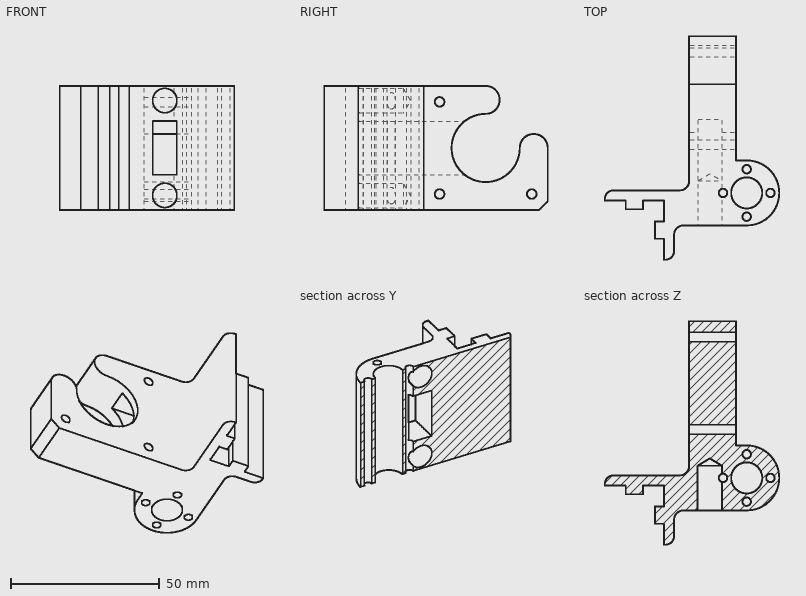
import cadquery as cq
import math

height = 42.0
mid_z = height / 2

body_radius = 11.0
bore_diameter = 10.4
bolt_hole_diameter = 2.8
bolt_circle_radius = 8.0
bolt_hole_count = 4

flange_length = 20.0
flange_thickness = 3.5
seat_corner_x = -27.9
seat_corner_y = -2.6
key_width = 5.9
key_height = 3.0
key_gap = (flange_length - key_width) / 2
blend_radius = 3.0

arm_left = -19.5
arm_width = 15.9
arm_end_y = 52.9
hook_y = arm_end_y - mid_z
hook_radius = 11.5
tip_radius = (mid_z - hook_radius) / 2
arm_chamfer = 3.0
arm_hole_diameter = 3.2
arm_hole_offset = 15.55

front_feature_x = -12.45
blind_hole_diameter = 8.2
blind_hole_depth = 15.1
blind_hole_offset = 16.0
drill_point_angle = 118
window_width = 8.0
window_height = 18.05


def make_body():
    """Rounded pivot body and both rail flanges, extruded over the full height."""
    left_tip_x = seat_corner_x - flange_length
    front_tip_y = seat_corner_y - flange_length
    back_y = seat_corner_y + flange_thickness
    inner_x = seat_corner_x + flange_thickness
    profile = (
        cq.Workplane("XY")
        .moveTo(0, body_radius)
        .lineTo(arm_left, body_radius)
        .lineTo(arm_left, back_y + blend_radius)
        .radiusArc((arm_left - blend_radius, back_y), blend_radius)
        .lineTo(left_tip_x + blend_radius, back_y)
        .radiusArc((left_tip_x, back_y - blend_radius), -blend_radius)
        .lineTo(left_tip_x, seat_corner_y)
        .lineTo(seat_corner_x, seat_corner_y)
        .lineTo(seat_corner_x, front_tip_y)
        .lineTo(inner_x - blend_radius, front_tip_y)
        .radiusArc((inner_x, front_tip_y + blend_radius), -blend_radius)
        .lineTo(inner_x, -body_radius - blend_radius)
        .radiusArc((inner_x + blend_radius, -body_radius), blend_radius)
        .lineTo(0, -body_radius)
        .threePointArc((body_radius, 0), (0, body_radius))
        .close()
    )
    body = profile.extrude(height)
    left_key = cq.Workplane("XY").box(key_width, key_height, height, centered=False)
    front_key = cq.Workplane("XY").box(key_height, key_width, height, centered=False)
    body = body.union(left_key.translate((left_tip_x + key_gap, seat_corner_y - key_height, 0)))
    return body.union(front_key.translate((seat_corner_x - key_height, front_tip_y + key_gap, 0)))


def make_arm():
    """Open hook with two rounded tips, extruded along X."""
    upper_tip_z = height - tip_radius
    lower_tip_y = arm_end_y - tip_radius
    diagonal = hook_radius * math.sqrt(0.5)
    return (
        cq.Workplane("YZ", origin=(arm_left, 0, 0))
        .moveTo(0, 0)
        .lineTo(arm_end_y - arm_chamfer, 0)
        .lineTo(arm_end_y, arm_chamfer)
        .lineTo(arm_end_y, mid_z)
        .threePointArc((lower_tip_y, mid_z + tip_radius), (hook_y + hook_radius, mid_z))
        .threePointArc((hook_y - diagonal, mid_z - diagonal), (hook_y, mid_z + hook_radius))
        .threePointArc((hook_y + tip_radius, upper_tip_z), (hook_y, height))
        .lineTo(0, height)
        .close()
        .extrude(arm_width)
    )


def make_pivot_holes():
    """Pivot bore and its ring of four bolt holes."""
    bore = cq.Workplane("XY").circle(bore_diameter / 2).extrude(height)
    bolts = (
        cq.Workplane("XY")
        .polarArray(bolt_circle_radius, 0, 360, bolt_hole_count)
        .circle(bolt_hole_diameter / 2)
        .extrude(height)
    )
    return bore.union(bolts)


def make_arm_holes():
    """Cross holes at three corners of a square around the hook centre."""
    near_y = hook_y - arm_hole_offset
    far_y = hook_y + arm_hole_offset
    low_z = mid_z - arm_hole_offset
    high_z = mid_z + arm_hole_offset
    return (
        cq.Workplane("YZ", origin=(arm_left, 0, 0))
        .pushPoints([(near_y, high_z), (near_y, low_z), (far_y, low_z)])
        .circle(arm_hole_diameter / 2)
        .extrude(arm_width)
    )


def make_blind_hole(z):
    """Drilled hole with a conical bottom, running along +Y from the front face."""
    radius = blind_hole_diameter / 2
    point_length = radius / math.tan(math.radians(drill_point_angle / 2))
    return (
        cq.Workplane("XY")
        .polyline([(0, 0), (radius, 0), (radius, blind_hole_depth), (0, blind_hole_depth + point_length)])
        .close()
        .revolve(360, (0, 0, 0), (0, 1, 0))
        .translate((front_feature_x, -body_radius, z))
    )


def make_window():
    """Rectangular passage from the front face into the hook opening."""
    return (
        cq.Workplane("XY")
        .box(window_width, hook_y + body_radius, window_height, centered=(True, False, True))
        .translate((front_feature_x, -body_radius, mid_z))
    )


result = make_body().union(make_arm())
result = result.cut(make_pivot_holes()).cut(make_arm_holes()).cut(make_window())
for side in (-1, 1):
    result = result.cut(make_blind_hole(mid_z + side * blind_hole_offset))